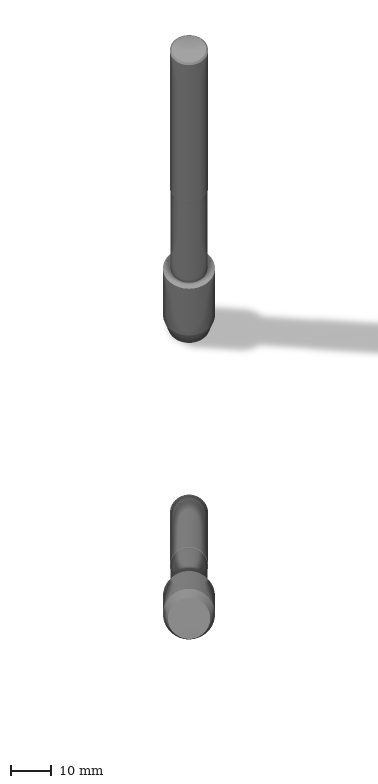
import cadquery as cq
import math

total_length = 110.0

head_diameter = 12.7
head_length = 23.0
lead_length = 4.45
lead_angle = 15.0

neck_diameter = 8.95
neck_length = 32.0

shank_diameter = 9.322
drive_length = 11.0
tip_chamfer = 0.45

lead_inset = lead_length * math.tan(math.radians(lead_angle))
nose_diameter = head_diameter - 2 * lead_inset
shank_start = head_length + neck_length
drive_start = total_length - drive_length
chamfer_start = total_length - tip_chamfer
tip_diameter = shank_diameter - 2 * tip_chamfer


def turned_body(stations):
    """Solid of revolution about Z through the given (diameter, height) stations, bottom to top."""
    profile = [(diameter / 2, height) for diameter, height in stations]
    bottom_height = profile[0][1]
    top_height = profile[-1][1]
    outline = [(0, bottom_height)] + profile + [(0, top_height)]
    return cq.Workplane("XZ").polyline(outline).close().revolve(360, (0, 0, 0), (0, 1, 0), clean=False)


cutting_head = turned_body([
    (nose_diameter, 0),
    (head_diameter, lead_length),
    (head_diameter, head_length),
])

shank = turned_body([
    (neck_diameter, head_length),
    (neck_diameter, shank_start),
    (shank_diameter, shank_start),
    (shank_diameter, drive_start),
    (shank_diameter, chamfer_start),
    (tip_diameter, total_length),
])

result = cq.Compound.makeCompound([cutting_head.val(), shank.val()])